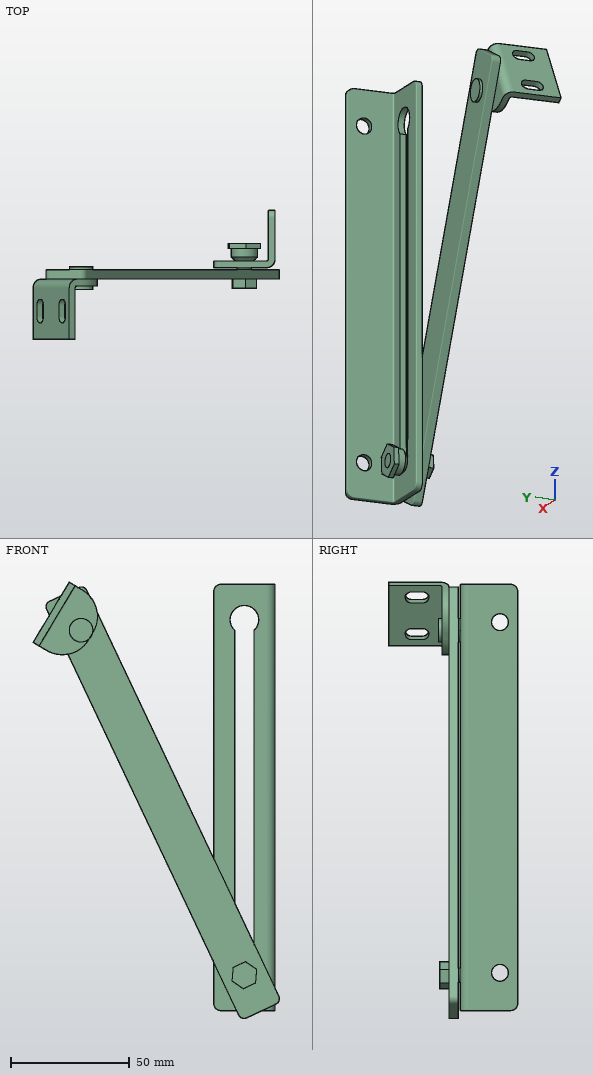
import cadquery as cq
import math


SHEET = 3.0
BEND_INNER = 0.7
BEND_OUTER = BEND_INNER + SHEET
EDGE_BREAK = 0.4

BOLT_X, BOLT_Z = 37.2, -73.7
RIVET_X, RIVET_Z = -31.7, 71.9

ARM_THICK = 4.0
ARM_WIDTH = 18.8
ARM_CORNER = 2.5
ARM_OVERHANG = 16.8
ARM_FRONT = -1.8
ARM_BACK = ARM_FRONT + ARM_THICK
PIVOT_DISTANCE = math.hypot(RIVET_X - BOLT_X, RIVET_Z - BOLT_Z)
ARM_LEAN = math.degrees(math.atan2(BOLT_X - RIVET_X, RIVET_Z - BOLT_Z))

RAIL_WIDTH = 26.0
RAIL_DEPTH = 24.3
RAIL_LENGTH = 180.0
RAIL_CORNER = 3.1
RAIL_GAP = 0.7
RAIL_FRONT = ARM_BACK + RAIL_GAP
RAIL_BACK = RAIL_FRONT + SHEET
RAIL_LEFT = BOLT_X - RAIL_WIDTH / 2
KEYHOLE_PITCH = 150.0
RAIL_MID_Z = BOLT_Z + KEYHOLE_PITCH / 2
SLOT_WIDTH = 8.0
ENTRY_DIAMETER = 12.0
FLANGE_HOLE_DIAMETER = 7.0
FLANGE_HOLE_PITCH = 148.0
FLANGE_HOLE_INSET = 7.5

BRACKET_LEAN = 31.0
BRACKET_WIDTH = 29.7
BRACKET_DEPTH = 25.5
LEG_TO_RIVET = 14.7
LUG_REACH = 19.5
LUG_CORNER = 12.9
LUG_FRONT = ARM_FRONT - SHEET
BRACKET_SLOT_LENGTH = 10.0
BRACKET_SLOT_WIDTH = 5.3
BRACKET_SLOT_PITCH = 18.0
BRACKET_SLOT_DEPTH = 13.5

RIVET_SHANK = 5.9
RIVET_HEAD = 10.0
RIVET_FRONT_HEIGHT = 1.5
RIVET_BACK_HEIGHT = 1.3

BOLT_SHANK = 6.0
BOLT_HEAD_FLATS = 10.0
BOLT_HEAD_HEIGHT = 3.9
NUT_FLATS = 13.0
NUT_HEX_HEIGHT = 2.2
NUT_COLLAR = 11.2
NUT_COLLAR_HEIGHT = 3.5
NUT_NOSE = 8.0
NUT_NOSE_HEIGHT = 1.7
NUT_BACK = RAIL_BACK + NUT_NOSE_HEIGHT + NUT_COLLAR_HEIGHT + NUT_HEX_HEIGHT


def xz_plane(x, z, y):
    """Plane facing +Y at depth y, with its origin at (x, z); local x is -X and local y is +Z."""
    return cq.Workplane(cq.Plane(origin=(x, y, z), xDir=(-1, 0, 0), normal=(0, 1, 0)))


def disc(x, z, y_front, y_back, diameter):
    """Cylinder along Y."""
    return xz_plane(x, z, y_front).circle(diameter / 2).extrude(y_back - y_front)


def hexagon(y_front, y_back, flats):
    """Hexagonal prism on the bolt axis, with two of its corners pointing across the arm."""
    corner_diameter = flats / math.cos(math.radians(30))
    prism = xz_plane(BOLT_X, BOLT_Z, y_front).polygon(6, corner_diameter).extrude(y_back - y_front)
    return prism.rotate((BOLT_X, 0, BOLT_Z), (BOLT_X, 1, BOLT_Z), -ARM_LEAN)


def bent_sheet(width, depth, length):
    """Angle section extruded up Z; its outer bend corner is at (0, 0), with legs along +X and +Y."""
    section = (
        cq.Workplane("XY")
        .polyline([(0, 0), (width, 0), (width, SHEET), (SHEET, SHEET), (SHEET, depth), (0, depth)])
        .close()
        .extrude(length)
    )
    section = section.edges(cq.selectors.NearestToPointSelector((0, 0, length / 2))).fillet(BEND_OUTER)
    inner_corner = (SHEET, SHEET, length / 2)
    return section.edges(cq.selectors.NearestToPointSelector(inner_corner)).fillet(BEND_INNER)


def make_rail():
    rail = bent_sheet(RAIL_WIDTH, RAIL_DEPTH, RAIL_LENGTH).mirror("YZ")
    rail = rail.translate((RAIL_LEFT + RAIL_WIDTH, RAIL_FRONT, RAIL_MID_Z - RAIL_LENGTH / 2))
    rail = rail.faces("<X").edges("|Y").fillet(RAIL_CORNER)
    rail = rail.faces(">Y").edges("|X").fillet(RAIL_CORNER)
    rail = rail.faces("<X").edges("|Z").fillet(EDGE_BREAK)

    slot = (
        xz_plane(BOLT_X, RAIL_MID_Z, RAIL_FRONT)
        .slot2D(KEYHOLE_PITCH + SLOT_WIDTH, SLOT_WIDTH, 90)
        .extrude(SHEET)
    )
    entry = disc(BOLT_X, BOLT_Z + KEYHOLE_PITCH, RAIL_FRONT, RAIL_BACK, ENTRY_DIAMETER)

    flange_holes = (
        cq.Workplane("YZ", origin=(RAIL_LEFT + RAIL_WIDTH - SHEET, 0, RAIL_MID_Z))
        .center(RAIL_FRONT + RAIL_DEPTH - FLANGE_HOLE_INSET, 0)
        .pushPoints([(0, -FLANGE_HOLE_PITCH / 2), (0, FLANGE_HOLE_PITCH / 2)])
        .circle(FLANGE_HOLE_DIAMETER / 2)
        .extrude(SHEET)
    )
    return rail.cut(slot).cut(entry).cut(flange_holes)


def make_arm():
    arm = (
        xz_plane(BOLT_X, BOLT_Z + PIVOT_DISTANCE / 2, ARM_FRONT)
        .rect(ARM_WIDTH, PIVOT_DISTANCE + 2 * ARM_OVERHANG)
        .extrude(ARM_THICK)
        .edges("|Y")
        .fillet(ARM_CORNER)
        .faces("<Y or >Y")
        .edges()
        .fillet(EDGE_BREAK)
        .rotate((BOLT_X, 0, BOLT_Z), (BOLT_X, 1, BOLT_Z), -ARM_LEAN)
    )
    bolt_hole = disc(BOLT_X, BOLT_Z, ARM_FRONT, ARM_BACK, BOLT_SHANK)
    rivet_hole = disc(RIVET_X, RIVET_Z, ARM_FRONT, ARM_BACK, RIVET_SHANK)
    return arm.cut(bolt_hole).cut(rivet_hole)


def make_bracket():
    leg_outer = -LEG_TO_RIVET
    bracket = bent_sheet(LUG_REACH, BRACKET_DEPTH, BRACKET_WIDTH).mirror("XZ")
    bracket = bracket.translate((leg_outer, ARM_FRONT, -BRACKET_WIDTH / 2))
    bracket = bracket.faces(">X").edges("|Y").fillet(LUG_CORNER)

    slots = (
        cq.Workplane("YZ", origin=(leg_outer, ARM_FRONT - BRACKET_SLOT_DEPTH, 0))
        .pushPoints([(0, -BRACKET_SLOT_PITCH / 2), (0, BRACKET_SLOT_PITCH / 2)])
        .slot2D(BRACKET_SLOT_LENGTH, BRACKET_SLOT_WIDTH)
        .extrude(SHEET)
    )
    rivet_hole = disc(0, 0, LUG_FRONT, ARM_FRONT, RIVET_SHANK)
    bracket = bracket.cut(slots).cut(rivet_hole)
    return bracket.rotate((0, 0, 0), (0, 1, 0), BRACKET_LEAN).translate((RIVET_X, 0, RIVET_Z))


def make_rivet():
    shank = disc(RIVET_X, RIVET_Z, LUG_FRONT, ARM_BACK, RIVET_SHANK)
    front_head = disc(RIVET_X, RIVET_Z, LUG_FRONT - RIVET_FRONT_HEIGHT, LUG_FRONT, RIVET_HEAD)
    back_head = disc(RIVET_X, RIVET_Z, ARM_BACK, ARM_BACK + RIVET_BACK_HEIGHT, RIVET_HEAD)
    return shank.union(front_head).union(back_head)


def make_bolt():
    head = hexagon(ARM_FRONT - BOLT_HEAD_HEIGHT, ARM_FRONT, BOLT_HEAD_FLATS)
    shank = disc(BOLT_X, BOLT_Z, ARM_FRONT, NUT_BACK, BOLT_SHANK)
    return head.union(shank)


def make_nut():
    collar_front = RAIL_BACK + NUT_NOSE_HEIGHT
    collar_back = collar_front + NUT_COLLAR_HEIGHT
    nose = (
        xz_plane(BOLT_X, BOLT_Z, RAIL_BACK)
        .circle(NUT_NOSE / 2)
        .workplane(offset=NUT_NOSE_HEIGHT)
        .circle(NUT_COLLAR / 2)
        .loft()
    )
    collar = disc(BOLT_X, BOLT_Z, collar_front, collar_back, NUT_COLLAR)
    hex_flange = hexagon(collar_back, NUT_BACK, NUT_FLATS)
    bore = disc(BOLT_X, BOLT_Z, RAIL_BACK, NUT_BACK, BOLT_SHANK)
    return nose.union(collar).union(hex_flange).cut(bore)


rail = make_rail()
arm = make_arm()
bracket = make_bracket()
rivet = make_rivet()
bolt = make_bolt()
nut = make_nut()

result = cq.Compound.makeCompound(
    [rail.val(), arm.val(), bracket.val(), rivet.val(), bolt.val(), nut.val()]
)